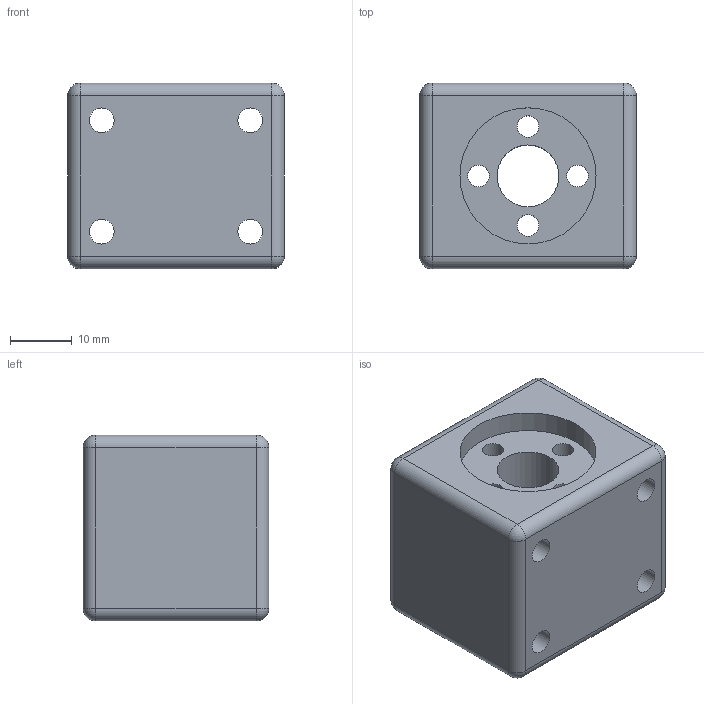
import cadquery as cq

LENGTH = 35.0
WIDTH = 30.0
HEIGHT = 30.0
EDGE_RADIUS = 2.0

SEAT_DIAMETER = 22.0
SEAT_DEPTH = 3.5
BORE_DIAMETER = 10.0
SCREW_HOLE_DIAMETER = 3.5
SCREW_CIRCLE_RADIUS = 8.0
SCREW_COUNT = 4

MOUNT_HOLE_DIAMETER = 4.0
MOUNT_SPACING_X = 24.0
MOUNT_SPACING_Z = 18.0


def make_block():
    """Block centred on the origin with every edge rounded."""
    return cq.Workplane("XY").box(LENGTH, WIDTH, HEIGHT).edges().fillet(EDGE_RADIUS)


def cut_seat(body):
    """Round recess in the top face with a bore and a ring of screw holes through its floor."""
    body = body.faces(">Z").workplane().circle(SEAT_DIAMETER / 2).cutBlind(-SEAT_DEPTH)
    bore = cq.Workplane("XY").circle(BORE_DIAMETER / 2).extrude(HEIGHT / 2, both=True)
    screw_holes = (
        cq.Workplane("XY")
        .polarArray(SCREW_CIRCLE_RADIUS, 0, 360, SCREW_COUNT)
        .circle(SCREW_HOLE_DIAMETER / 2)
        .extrude(HEIGHT / 2, both=True)
    )
    return body.cut(bore).cut(screw_holes)


def cut_mount_holes(body):
    """Four through holes from the front face to the back face."""
    holes = (
        cq.Workplane("XZ")
        .rarray(MOUNT_SPACING_X, MOUNT_SPACING_Z, 2, 2)
        .circle(MOUNT_HOLE_DIAMETER / 2)
        .extrude(WIDTH / 2, both=True)
    )
    return body.cut(holes)


result = cut_mount_holes(cut_seat(make_block()))